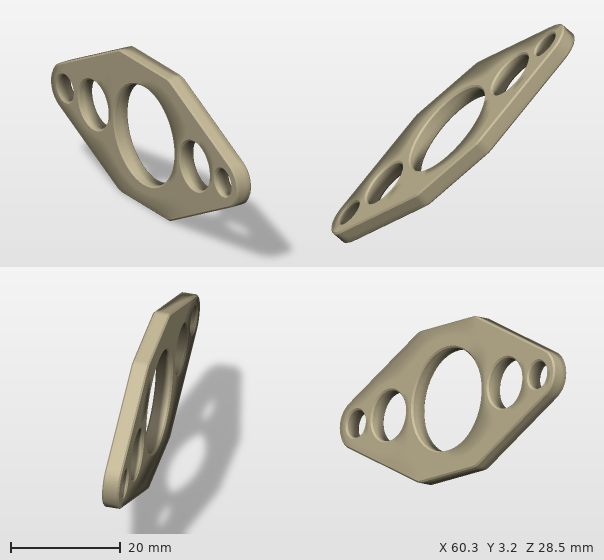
import cadquery as cq
import math

length = 60.3
height = 28.5
thickness = 3.2
edge_chamfer = 0.3

tip_radius = 4.75
tip_x = length / 2 - tip_radius
tip_shift = 0.2

corner_radius = 3.0
corner_x = 7.25
corner_z = height / 2 - corner_radius

bore_diameter = 19.2
port_diameter = 9.4
port_x = 16.3
bolt_diameter = 5.1


def offset_point(center, radius, angle):
    """Point on a circle at the given angle."""
    return (center[0] + radius * math.cos(angle), center[1] + radius * math.sin(angle))


def flank_angle(corner, tip):
    """Direction of the normal of the straight flank touching a right upper corner and the tip."""
    dx = tip[0] - corner[0]
    dz = tip[1] - corner[1]
    lean = math.acos((corner_radius - tip_radius) / math.hypot(dx, dz))
    return math.atan2(dz, dx) + lean


def half_turn(point):
    return (-point[0], -point[1])


def plate_outline():
    """Closed outline that maps onto itself under a half turn about the bore."""
    tip = (tip_x, tip_shift)
    upper_corner = (corner_x, corner_z)
    lower_corner = (corner_x, -corner_z)
    upper = flank_angle(upper_corner, tip)
    lower = -flank_angle(upper_corner, (tip_x, -tip_shift))

    corner_start = (corner_x, height / 2)
    right_arcs = [
        (offset_point(upper_corner, corner_radius, (math.pi / 2 + upper) / 2),
         offset_point(upper_corner, corner_radius, upper)),
        (offset_point(tip, tip_radius, (upper + lower) / 2),
         offset_point(tip, tip_radius, lower)),
        (offset_point(lower_corner, corner_radius, (lower - math.pi / 2) / 2),
         (corner_x, -height / 2)),
    ]
    line_ends = [
        offset_point(tip, tip_radius, upper),
        offset_point(lower_corner, corner_radius, lower),
        half_turn(corner_start),
    ]

    outline = cq.Workplane("XZ").moveTo(*corner_start)
    for turn in (lambda point: point, half_turn):
        for (middle, end), line_end in zip(right_arcs, line_ends):
            outline = outline.threePointArc(turn(middle), turn(end)).lineTo(*turn(line_end))
    return outline.close()


def hole_cutter(points, diameter):
    return (
        cq.Workplane("XZ")
        .pushPoints(points)
        .circle(diameter / 2)
        .extrude(thickness / 2, both=True)
    )


plate = plate_outline().extrude(thickness / 2, both=True)
plate = plate.cut(hole_cutter([(0, 0)], bore_diameter))
plate = plate.cut(hole_cutter([(-port_x, 0), (port_x, 0)], port_diameter))
plate = plate.cut(hole_cutter([(-tip_x, -tip_shift), (tip_x, tip_shift)], bolt_diameter))

result = plate.faces("<Y or >Y").edges().chamfer(edge_chamfer)